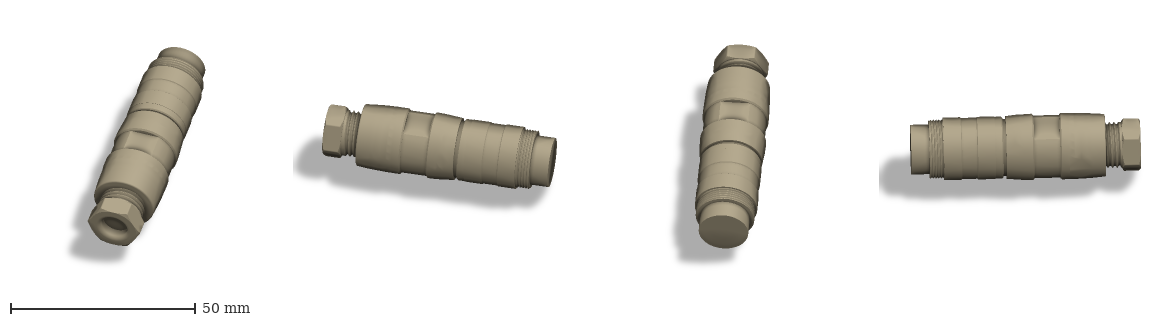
import cadquery as cq
import math


spigot_dia = 13.5
coupling_thread_dia = 16.0
coupling_thread_root_dia = 15.4
ring_dia = 17.0
band_dia = 16.6
lip_dia = 16.8
neck_dia = 15.5
grip_dia = 18.0
waist_dia = 17.0
cable_thread_dia = 12.5
cable_thread_root_dia = 11.3

nut_end = 5.0
gland_face = 9.5
gland_crown_start = 19.4
gland_crown_end = 21.5
grip_crown = 29.3
grip_end = 36.45
neck_end = 37.3
lip_step = 39.45
band_start = 44.4
band_end = 48.5
ring_end = 53.45
coupling_thread_end = 57.35
overall_length = 62.3

shoulder_chamfer = 0.4
lip_chamfer = 0.3
ring_chamfer = (ring_dia - band_dia) / 2
gland_fillet = 0.4

waist_across_flats = 15.0

nut_sides = 6
nut_across_flats = 13.0
nut_corner_radius = 0.5
nut_chamfer_dia = 13.0
nut_chamfer_angle = 30.0
bore_dia = 7.5
bore_mouth_radius = 1.1
bore_depth = 3.0

coupling_pitch = 0.75
cable_pitch = 1.25
cable_thread_runout = 0.64
coupling_thread_runout = 0.21
crest_share = 0.06
root_share = 0.3
groove_overshoot = 0.02
groove_start_angle = 100.0


def cylinder(diameter, start, end):
    """Cylinder on the Y axis between two stations."""
    return cq.Workplane("XZ", origin=(0, start, 0)).circle(diameter / 2).extrude(start - end)


def make_body():
    """Revolved shell from the gland face to the spigot end."""
    ring_r = ring_dia / 2
    band_r = band_dia / 2
    lip_r = lip_dia / 2
    neck_r = neck_dia / 2
    grip_r = grip_dia / 2
    waist_r = waist_dia / 2
    spigot_r = spigot_dia / 2
    fillet_mid = gland_fillet * (1 - math.sqrt(0.5))
    profile = (
        cq.Workplane("XY")
        .moveTo(0, overall_length)
        .lineTo(spigot_r, overall_length)
        .lineTo(spigot_r, ring_end)
        .lineTo(ring_r, ring_end)
        .lineTo(ring_r, band_end + ring_chamfer)
        .lineTo(band_r, band_end)
        .lineTo(band_r, band_start)
        .lineTo(ring_r, band_start - ring_chamfer)
        .lineTo(ring_r, lip_step)
        .lineTo(lip_r, lip_step)
        .lineTo(lip_r, neck_end + lip_chamfer)
        .lineTo(lip_r - lip_chamfer, neck_end)
        .lineTo(neck_r, neck_end)
        .lineTo(neck_r, grip_end)
        .lineTo(ring_r, grip_end)
    )
    rise = grip_r - ring_r
    run = grip_end - grip_crown
    bulge_radius = (rise**2 + run**2) / (2 * rise)
    profile = (
        profile.radiusArc((grip_r, grip_crown), bulge_radius)
        .lineTo(grip_r - shoulder_chamfer, grip_crown - shoulder_chamfer)
        .lineTo(waist_r, grip_crown - shoulder_chamfer)
        .lineTo(waist_r, gland_crown_end + shoulder_chamfer)
        .lineTo(grip_r - shoulder_chamfer, gland_crown_end + shoulder_chamfer)
        .lineTo(grip_r, gland_crown_end)
        .lineTo(grip_r, gland_crown_start)
        .tangentArcPoint((ring_r, gland_face + gland_fillet), relative=False)
        .threePointArc(
            (ring_r - fillet_mid, gland_face + fillet_mid),
            (ring_r - gland_fillet, gland_face),
        )
        .lineTo(0, gland_face)
        .close()
    )
    return profile.revolve(360, (0, 0, 0), (0, 1, 0))


def cut_waist_flats(body):
    """Two parallel wrench flats, above and below the axis, over the waist length."""
    start = gland_crown_end + shoulder_chamfer
    length = grip_crown - shoulder_chamfer - start
    height = grip_dia - waist_across_flats
    for side in (1, -1):
        cutter = cq.Workplane("XY").box(grip_dia, length, height).translate(
            (0, start + length / 2, side * (waist_across_flats + height) / 2)
        )
        body = body.cut(cutter)
    return body


def threaded_cylinder(major_dia, root_dia, pitch, start, end, runout):
    """Cylinder with a right-handed V groove from a runout past its start out through its end."""
    crest_r = major_dia / 2
    root_r = root_dia / 2
    clearance = groove_overshoot * pitch
    half_root = root_share * pitch / 2
    half_mouth = (1 - crest_share) * pitch / 2
    flank_slope = (half_mouth - half_root) / (crest_r - root_r)
    outer_r = crest_r + clearance
    half_outer = half_mouth + clearance * flank_slope
    groove_length = end + pitch - (start + runout)
    helix = cq.Wire.makeHelix(pitch, groove_length, root_r)
    groove = (
        cq.Workplane("XZ")
        .polyline([(root_r, -half_root), (outer_r, -half_outer), (outer_r, half_outer), (root_r, half_root)])
        .close()
        .sweep(cq.Workplane(obj=helix), isFrenet=True)
        .rotate((0, 0, 0), (1, 0, 0), -90)
        .rotate((0, 0, 0), (0, 1, 0), groove_start_angle)
        .translate((0, start + runout, 0))
    )
    blank = cylinder(major_dia, start - pitch, end + 2 * pitch)
    return blank.cut(groove).intersect(cylinder(2 * major_dia, start, end))


def make_nut():
    """Hexagonal nut with rounded corners and both ends chamfered by cones."""
    across_corners = nut_across_flats / math.cos(math.pi / nut_sides)
    nut = (
        cq.Workplane("XZ")
        .polygon(nut_sides, across_corners)
        .extrude(-nut_end)
        .edges("|Y")
        .fillet(nut_corner_radius)
    )
    face_r = nut_chamfer_dia / 2
    outer_r = across_corners / 2
    drop = (outer_r - face_r) * math.tan(math.radians(nut_chamfer_angle))
    envelope = (
        cq.Workplane("XY")
        .polyline(
            [
                (0, 0),
                (face_r, 0),
                (outer_r, drop),
                (outer_r, nut_end - drop),
                (face_r, nut_end),
                (0, nut_end),
            ]
        )
        .close()
        .revolve(360, (0, 0, 0), (0, 1, 0))
    )
    return nut.intersect(envelope)


def cut_bore(part):
    """Blind cable bore with a rounded mouth in the nut face."""
    part = part.cut(cylinder(bore_dia, 0, bore_depth))
    smallest_circle = cq.selectors.RadiusNthSelector(0)
    return part.faces("<Y").edges("%CIRCLE").edges(smallest_circle).fillet(bore_mouth_radius)


body = cut_waist_flats(make_body())

cable_thread = threaded_cylinder(
    cable_thread_dia, cable_thread_root_dia, cable_pitch, nut_end, gland_face, cable_thread_runout
)
coupling_thread = threaded_cylinder(
    coupling_thread_dia, coupling_thread_root_dia, coupling_pitch,
    ring_end, coupling_thread_end, coupling_thread_runout,
)
nut = cut_bore(make_nut())
result = body.union(coupling_thread).union(cable_thread).union(nut)